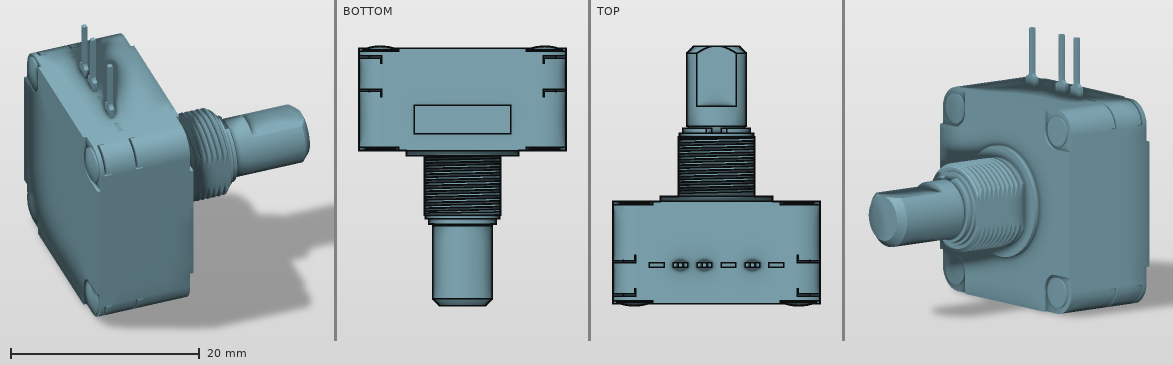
import cadquery as cq
import math


body_size = 21.97
body_depth = 10.86
body_corner_radius = 2.54
half_size = body_size / 2
back_y = -body_depth

recess_size = 4.24
recess_depth = 0.36
fastener_inset = 2.3
recess_corner_radius = recess_size - fastener_inset
fastener_offset = half_size - fastener_inset
head_radius = 1.87
head_rim_height = 0.18
head_height = 0.56
tail_radius = 1.6
tail_height = 0.18
shank_radius = 1.2

gap_reach = 2.41
gap_height = 0.25
gap_floor_positions = (-6.51, -10.04)
gap_lip_width = 0.1
gap_lip_height = 0.8

flange_radius = 5.95
flange_top = 0.55
thread_radius = 9.525 / 2
thread_root_radius = 4.25
thread_pitch = 0.6
thread_groove_start_y = 0.775
thread_turns = 11
thread_groove_half_width = 0.29
thread_root_half_width = 0.01
thread_clearance = 0.02
thread_top = 6.87
thread_chamfer = 0.4
flat_half_width = 4.05
collar_radius = 3.94
collar_top = 7.23

ring_radius = 3.6
ring_top = 7.78
notch_outer_half_width = 1.08
notch_floor_half_width = 0.52
notch_floor_radius = 3.0

neck_radius = 3.0
neck_top = 7.97
shaft_radius = 6.35 / 2
shaft_end = 16.45
shaft_chamfer = 0.76
shaft_flat_length = 6.35
shaft_flat_height = 2.37

pin_pitch = 2.54
pin_y = -6.75
pin_thickness = 0.48
pin_base_width = 1.58
pin_base_height = 1.08
pin_stem_width = 0.5
pin_shoulder_top = 1.5
pin_shoulder_radius = 0.55
pin_length = 6.35
pin_embed = 1.0
pin_slots = (-1.5, -0.5, 1.5)
blank_slots = (-2.5, 0.5, 2.5)
blank_slot_depth = 0.05

label_width = 10.25
label_length = 3.05
label_center_y = -3.3
label_thickness = 0.11

corner_signs = [(sx, sz) for sx in (-1, 1) for sz in (-1, 1)]


def box(x0, x1, y0, y1, z0, z1):
    """Axis-aligned box between two corners."""
    return cq.Workplane("XY").box(x1 - x0, y1 - y0, z1 - z0, centered=False).translate((x0, y0, z0))


def disc(radius, y0, y1, x=0.0, z=0.0):
    """Cylinder along Y, from y0 to y1."""
    return cq.Workplane("XZ", origin=(x, y0, z)).circle(radius).extrude(y0 - y1)


def place_in_corner(shape, sx, sz):
    """Mirror a shape made for the +X +Z corner into the corner with the given signs."""
    if sx < 0:
        shape = shape.mirror("YZ")
    if sz < 0:
        shape = shape.mirror("XY")
    return shape


def corner_recess(y0, y1):
    """Corner pocket, rounded around the fastener at its inner corner."""
    inner = half_size - recess_size
    pocket = box(inner, half_size, y0, y1, inner, half_size)
    return pocket.edges("|Y and <X and <Z").fillet(recess_corner_radius)


def plate_gap(floor_y):
    """Open gap at a corner, with a thin lip slot rising along its two inner walls."""
    inner = half_size - gap_reach
    lip_end = inner + gap_lip_width
    gap = box(inner, half_size, floor_y, floor_y + gap_height, inner, half_size)
    lip_block = box(inner, half_size, floor_y, floor_y + gap_lip_height, inner, half_size)
    lip_core = box(lip_end, half_size, floor_y, floor_y + gap_lip_height, lip_end, half_size)
    return gap.union(lip_block.cut(lip_core))


def domed_head():
    """Fastener head with a short rim and a spherical dome, facing -Y."""
    base_y = back_y + recess_depth
    rim_y = base_y - head_rim_height
    crown_y = base_y - head_height
    dome_rise = head_height - head_rim_height
    sphere_radius = (head_radius**2 + dome_rise**2) / (2 * dome_rise)
    half_angle = math.asin(head_radius / sphere_radius) / 2
    mid_x = sphere_radius * math.sin(half_angle)
    mid_y = crown_y + sphere_radius * (1 - math.cos(half_angle))
    return (
        cq.Workplane("XY")
        .moveTo(0, base_y)
        .lineTo(head_radius, base_y)
        .lineTo(head_radius, rim_y)
        .threePointArc((mid_x, mid_y), (0, crown_y))
        .close()
        .revolve(360, (0, 0, 0), (0, 1, 0))
        .translate((fastener_offset, 0, fastener_offset))
    )


def housing():
    body = (
        box(-half_size, half_size, back_y, 0, -half_size, half_size)
        .edges("|Y")
        .fillet(body_corner_radius)
    )
    cutter = corner_recess(back_y, back_y + recess_depth)
    cutter = cutter.union(corner_recess(-recess_depth, 0))
    for floor_y in gap_floor_positions:
        cutter = cutter.union(plate_gap(floor_y))
    fastener = disc(shank_radius, back_y + recess_depth, -recess_depth, fastener_offset, fastener_offset)
    fastener = fastener.union(
        disc(tail_radius, -recess_depth, tail_height - recess_depth, fastener_offset, fastener_offset)
    )
    fastener = fastener.union(domed_head())
    for sx, sz in corner_signs:
        body = body.cut(place_in_corner(cutter, sx, sz))
        body = body.union(place_in_corner(fastener, sx, sz))
    return body


def thread_groove():
    """Right-handed V groove wound around Z, for a bushing standing along Z."""
    outer_radius = thread_radius + thread_clearance
    helix = cq.Wire.makeHelix(thread_pitch, thread_pitch * thread_turns, thread_root_radius)
    profile = (
        cq.Workplane("XZ")
        .moveTo(thread_root_radius, -thread_root_half_width)
        .lineTo(thread_root_radius, thread_root_half_width)
        .lineTo(outer_radius, thread_groove_half_width)
        .lineTo(outer_radius, -thread_groove_half_width)
        .close()
    )
    return profile.sweep(cq.Workplane(helix), isFrenet=True).translate((0, 0, thread_groove_start_y))


def bushing():
    """Chamfered threaded barrel with two side flats, its flange and its plain end collar."""
    barrel = cq.Workplane("XY").circle(thread_radius).extrude(thread_top)
    chamfered_barrel = barrel.faces(">Z").chamfer(thread_chamfer)
    threaded = barrel.cut(thread_groove()).intersect(chamfered_barrel)
    threaded = threaded.rotate((0, 0, 0), (1, 0, 0), -90)
    threaded = threaded.intersect(
        box(-flat_half_width, flat_half_width, 0, thread_top, -thread_radius, thread_radius)
    )
    flange = disc(flange_radius, 0, flange_top)
    collar = disc(collar_radius, 0, collar_top)
    return threaded.union(flange).union(collar)


def retaining_ring():
    ring = disc(ring_radius, collar_top, ring_top)
    rim_height = math.sqrt(ring_radius**2 - notch_outer_half_width**2)
    notch = (
        cq.Workplane("XZ", origin=(0, collar_top, 0))
        .moveTo(-notch_floor_half_width, 0)
        .lineTo(-notch_floor_half_width, notch_floor_radius)
        .lineTo(-notch_outer_half_width, rim_height)
        .lineTo(-notch_outer_half_width, ring_radius)
        .lineTo(notch_outer_half_width, ring_radius)
        .lineTo(notch_outer_half_width, rim_height)
        .lineTo(notch_floor_half_width, notch_floor_radius)
        .lineTo(notch_floor_half_width, 0)
        .close()
        .extrude(collar_top - ring_top)
    )
    return ring.cut(notch).union(disc(notch_floor_radius, collar_top, ring_top))


def shaft():
    neck = disc(neck_radius, collar_top, neck_top)
    rod = disc(shaft_radius, neck_top, shaft_end).faces(">Y").chamfer(shaft_chamfer)
    flat_cut = box(
        -shaft_radius, shaft_radius, shaft_end - shaft_flat_length, shaft_end, shaft_flat_height, shaft_radius
    )
    return rod.cut(flat_cut).union(neck)


def pin(x):
    """Flat pin with a wide base that narrows to a thin stem."""
    half_base = pin_base_width / 2
    half_stem = pin_stem_width / 2
    return (
        cq.Workplane("XZ", origin=(x, pin_y + pin_thickness / 2, half_size))
        .moveTo(-half_base, -pin_embed)
        .lineTo(-half_base, pin_base_height)
        .radiusArc((-half_stem, pin_shoulder_top), -pin_shoulder_radius)
        .lineTo(-half_stem, pin_length)
        .lineTo(half_stem, pin_length)
        .lineTo(half_stem, pin_shoulder_top)
        .radiusArc((half_base, pin_base_height), -pin_shoulder_radius)
        .lineTo(half_base, -pin_embed)
        .close()
        .extrude(pin_thickness)
    )


def blank_slot(x):
    """Shallow pocket marking an unused pin position."""
    pocket = cq.Workplane("XY").box(pin_base_width, pin_thickness, 2 * blank_slot_depth)
    return pocket.translate((x, pin_y, half_size))


def label_pad():
    return (
        cq.Workplane("XY")
        .box(label_width, label_length, 2 * label_thickness)
        .translate((0, label_center_y, -half_size))
    )


result = housing().union(label_pad())
for position in pin_slots:
    result = result.union(pin(position * pin_pitch))
for position in blank_slots:
    result = result.cut(blank_slot(position * pin_pitch))
result = result.union(bushing()).union(retaining_ring()).union(shaft())